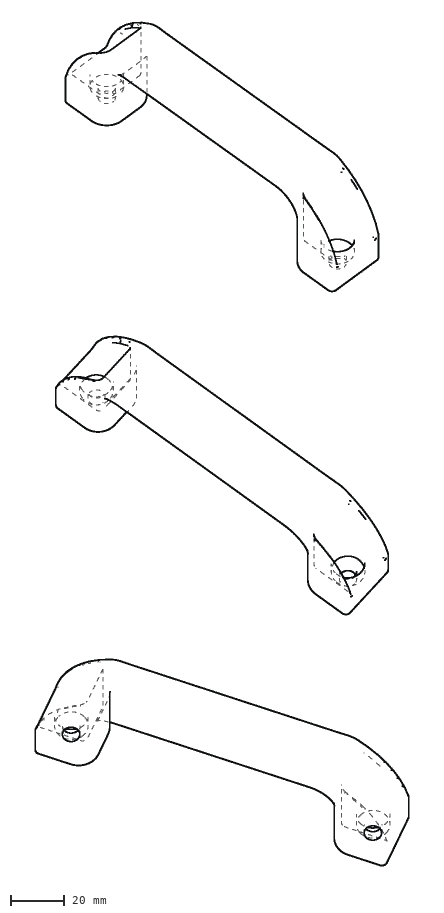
import cadquery as cq

length = 141
width = 26.0
height = 40.0

leg_depth = 23.0
bar_thickness = 9.2
bend_radius = 7.6
end_height = 12.7
flank_radius = 39.5
flank_run = 22.8
shoulder_radius = 10.0

grip_round = 8.0
outer_round = 2.1
foot_round = 0.7

pocket_length = 19.6
pocket_width = 19.2
pocket_corner_radius = 2.1
pocket_floor_round = 0.5
rim_round = 1.1

hole_inset = 10.0
hole_diameter = 6.5
counterbore_diameter = 12.5
counterbore_depth = 6.8
hole_edge_round = 0.5

half_length = length / 2
inner_x = half_length - leg_depth
bar_underside = height - bar_thickness
top_x = half_length - flank_run
pocket_wall_x = half_length - pocket_length
screw_x = half_length - hole_inset
pocket_floor = end_height

overshoot = 14.1
pick_margin = 0.1


def pick_edges(solid, x_range, y_limit, z_range):
    """Select the edges whose centres lie within the given X, Y and Z limits."""
    low_corner = (x_range[0], -y_limit, z_range[0])
    high_corner = (x_range[1], y_limit, z_range[1])
    return solid.edges(cq.selectors.BoxSelector(low_corner, high_corner))


def pick_inner_edges(solid, z_low):
    """Select edges on the inner side of the legs and bar, from z_low up to the bar."""
    x_limit = inner_x + pick_margin
    return pick_edges(solid, (-x_limit, x_limit), width, (z_low, bar_underside + pick_margin))


def make_bow():
    """Extrude the bow-shaped outline and round its shoulders and bends."""
    bow = (
        cq.Workplane("XZ")
        .moveTo(-half_length, 0)
        .lineTo(-half_length, end_height)
        .radiusArc((-top_x, height), flank_radius)
        .lineTo(top_x, height)
        .radiusArc((half_length, end_height), flank_radius)
        .lineTo(half_length, 0)
        .lineTo(inner_x, 0)
        .lineTo(inner_x, bar_underside)
        .lineTo(-inner_x, bar_underside)
        .lineTo(-inner_x, 0)
        .close()
        .extrude(width / 2, both=True)
    )
    bow = bow.faces(">Z").edges("|Y").fillet(shoulder_radius)
    bends = pick_inner_edges(bow, bar_underside - pick_margin).edges("|Y")
    return bends.fillet(bend_radius)


def round_grip(bow):
    """Give the inner side of the legs and bar a large round."""
    return pick_inner_edges(bow, pick_margin).edges("not |Y").fillet(grip_round)


def round_outside(bow):
    """Round the outer side edges; each top edge carries on down both flanks."""
    top_edges = bow.faces(">Z").edges("|X")
    end_edges = bow.faces("<X or >X").edges("|Z")
    return top_edges.add(end_edges).fillet(outer_round)


def cut_pocket(solid, side):
    """Cut a pocket at one end, open upwards and outwards, and round its rim and floor."""
    cut_length = pocket_length + overshoot
    centre_x = side * (pocket_wall_x + cut_length / 2)
    wall = ">X" if side < 0 else "<X"
    pocket = (
        cq.Workplane("XY", origin=(centre_x, 0, pocket_floor))
        .rect(cut_length, pocket_width)
        .extrude(height)
        .faces(wall)
        .edges("|Z")
        .fillet(pocket_corner_radius)
    )
    solid = solid.cut(pocket)

    x_range = sorted((side * (pocket_wall_x - pick_margin), side * (half_length + pick_margin)))
    y_limit = pocket_width / 2 + pick_margin
    rim = pick_edges(solid, x_range, y_limit, (pocket_floor + pick_margin, height)).edges("not |Z")
    solid = rim.fillet(rim_round)

    floor = pick_edges(solid, x_range, y_limit, (pocket_floor - pick_margin, pocket_floor + pick_margin))
    return floor.fillet(pocket_floor_round)


def cut_screw_hole(solid, side):
    """Cut a through hole counterbored from the pocket floor, with rounded upper edges."""
    seat = pocket_floor - counterbore_depth
    place = cq.Workplane("XY").center(side * screw_x, 0)
    hole = place.circle(hole_diameter / 2).extrude(pocket_floor)
    counterbore = place.workplane(offset=seat).circle(counterbore_diameter / 2).extrude(counterbore_depth)
    solid = solid.cut(hole).cut(counterbore)
    for radius, z in ((hole_diameter / 2, seat), (counterbore_diameter / 2, pocket_floor)):
        x_range = (side * screw_x - radius - pick_margin, side * screw_x + radius + pick_margin)
        mouth = pick_edges(solid, x_range, radius + pick_margin, (z - pick_margin, z + pick_margin))
        solid = mouth.edges(cq.selectors.RadiusNthSelector(0)).fillet(hole_edge_round)
    return solid


body = round_outside(round_grip(make_bow()))
body = body.faces("<Z").edges().fillet(foot_round)
for side in (-1, 1):
    body = cut_pocket(body, side)
    body = cut_screw_hole(body, side)

result = body